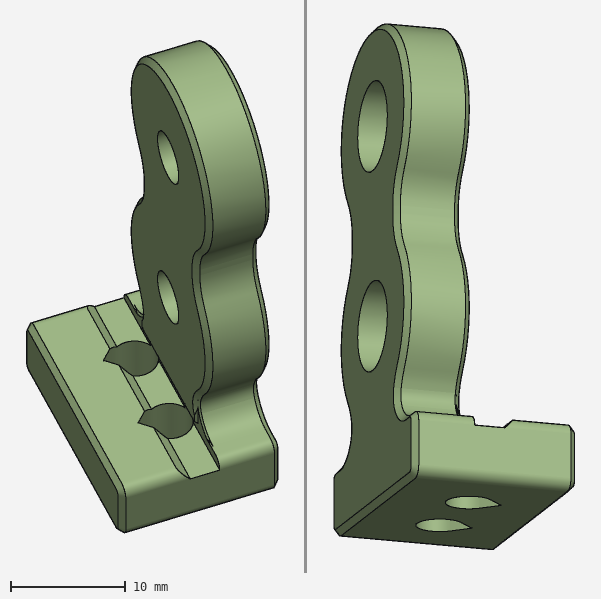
import cadquery as cq
import math

base_width = 22.0
base_depth = 15.0
base_height = 6.0
base_edge_radius = 1.0
edge_chamfer = 0.5

total_height = 43.3
plate_thickness = 6.0
lobe_radius = 9.0
lobe_spacing = 18.0
waist_half_width = 6.0
neck_radius = 5.0
flare_radius = 3.0
flare_blend_radius = 2.0
upper_z = total_height - lobe_radius
lower_z = upper_z - lobe_spacing

screw_diameter = 4.85
head_diameter = 8.0
screw_land = 1.6

groove_depth = 1.0
groove_back = 5.65
groove_floor_width = 2.75
foot_setback = plate_thickness - groove_back

teardrop_radius = 2.08
teardrop_x = 4.0
teardrop_back = 7.55

touching_gap = 0.0005


def point_at(center, radius, angle):
    """Point on a circle, angle in radians."""
    return (center[0] + radius * math.cos(angle), center[1] + radius * math.sin(angle))


def angle_to(start, end):
    """Direction from one point to another, in radians."""
    return math.atan2(end[1] - start[1], end[0] - start[0])


def mirrored(point):
    return (-point[0], point[1])


neck_x = waist_half_width + neck_radius
neck_rise = math.sqrt((lobe_radius + neck_radius) ** 2 - neck_x ** 2)
neck_angle = math.atan2(neck_rise, neck_x)
lower_neck = (neck_x, lower_z - neck_rise)
flare = (waist_half_width + flare_radius, base_height + flare_radius)

neck_gap = neck_radius - flare_blend_radius
flare_gap = flare_radius - flare_blend_radius
center_distance = math.dist(lower_neck, flare)
blend_cosine = (neck_gap ** 2 + center_distance ** 2 - flare_gap ** 2) / (2 * neck_gap * center_distance)
blend_angle = math.acos(blend_cosine)
blend = point_at(lower_neck, neck_gap, angle_to(lower_neck, flare) + blend_angle)
neck_touch_angle = angle_to(lower_neck, blend) % math.tau
flare_touch_angle = angle_to(flare, blend) % math.tau


def right_side_arcs():
    """Arcs (center, radius, start angle, end angle) up the right side of the plate."""
    return [
        (flare, flare_radius, 1.5 * math.pi, flare_touch_angle),
        (blend, flare_blend_radius, flare_touch_angle, neck_touch_angle),
        (lower_neck, neck_radius, neck_touch_angle, math.pi - neck_angle),
        ((0, lower_z), lobe_radius, -neck_angle, neck_angle),
        ((neck_x, lower_z + neck_rise), neck_radius, math.pi + neck_angle, math.pi),
        ((neck_x, upper_z - neck_rise), neck_radius, math.pi, math.pi - neck_angle),
        ((0, upper_z), lobe_radius, -neck_angle, math.pi / 2),
    ]


def make_plate():
    """Upright plate, rooted inside the base, with its front edge chamfered."""
    right_spans = []
    for center, radius, start, end in right_side_arcs():
        right_spans.append([point_at(center, radius, a) for a in (start, (start + end) / 2, end)])
    left_spans = [[mirrored(p) for p in reversed(span)] for span in reversed(right_spans)]

    root = (flare[0], base_height / 2)
    outline = cq.Workplane("XZ").moveTo(*root)
    pen = root
    for start, middle, end in right_spans + left_spans:
        if math.dist(pen, start) > touching_gap:
            outline = outline.lineTo(*start)
        outline = outline.threePointArc(middle, end)
        pen = end
    outline = outline.lineTo(*mirrored(root)).close()
    return outline.extrude(plate_thickness).faces("<Y").chamfer(edge_chamfer)


def make_base():
    block = cq.Workplane("XY").box(base_width, base_depth, base_height, centered=(True, False, False))
    block = block.translate((0, -base_depth, 0)).edges("|Y").fillet(base_edge_radius)
    return block.faces("<Y").chamfer(edge_chamfer)


def cut_flare_front(body):
    """Set the front of the flares back to the groove wall, beside the straight foot."""
    middle_x = (waist_half_width + flare[0]) / 2
    block = cq.Workplane("XY").box(flare_radius, foot_setback, flare_radius, centered=(True, False, False))
    for side in (-1, 1):
        body = body.cut(block.translate((side * middle_x, -plate_thickness, base_height)))
    return body


def cut_groove(body):
    floor_front = groove_back + groove_floor_width
    slope_front = floor_front + groove_depth
    floor_z = base_height - groove_depth
    profile = [
        (-groove_back, floor_z),
        (-groove_back, base_height),
        (-plate_thickness, base_height + foot_setback),
        (-slope_front, base_height + foot_setback),
        (-slope_front, base_height),
        (-floor_front, floor_z),
    ]
    groove = cq.Workplane("YZ").polyline(profile).close().extrude(base_width / 2, both=True)
    return body.cut(groove)


def cut_teardrops(body):
    """Round holes with a right-angled point toward the front."""
    tangent = teardrop_radius / math.sqrt(2)
    for x in (-teardrop_x, teardrop_x):
        hole = (
            cq.Workplane("XY")
            .moveTo(x - tangent, -teardrop_back - tangent)
            .threePointArc((x, -teardrop_back + teardrop_radius), (x + tangent, -teardrop_back - tangent))
            .lineTo(x, -teardrop_back - 2 * tangent)
            .close()
            .extrude(base_height)
        )
        body = body.cut(hole)
    return body


def cut_screw_holes(body):
    centers = [(0, lower_z), (0, upper_z)]
    holes = cq.Workplane("XZ").pushPoints(centers).circle(screw_diameter / 2).extrude(plate_thickness)
    head_depth = plate_thickness - screw_land
    heads = cq.Workplane("XZ").pushPoints(centers).circle(head_diameter / 2).extrude(head_depth)
    return body.cut(holes).cut(heads)


bracket = make_base().union(make_plate())
bracket = bracket.faces(">Y").chamfer(edge_chamfer)
bracket = cut_flare_front(bracket)
bracket = cut_groove(bracket)
bracket = cut_teardrops(bracket)
result = cut_screw_holes(bracket)